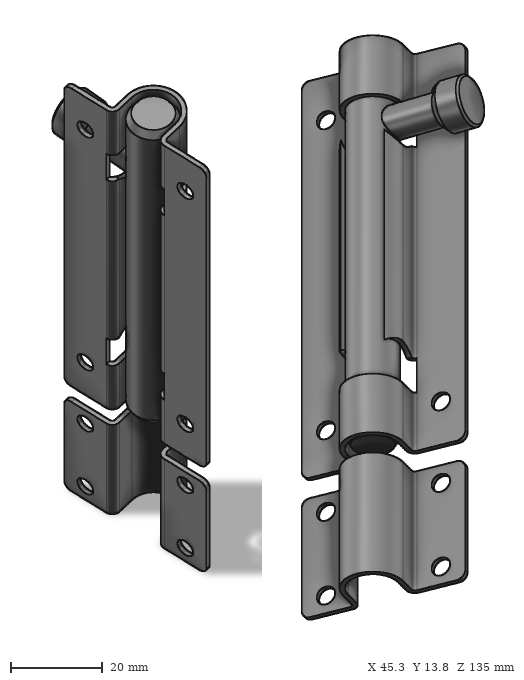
import cadquery as cq
import math


bolt_diameter = 12.0

sheet_thickness = 1.2
crown_radius = 7.3
plate_width = 40.0
mounting_gap = 0.3
base_y = -(bolt_diameter / 2 + mounting_gap)
bend_inner_radius = 0.8
corner_radius = 2.0
screw_hole_diameter = 4.5
screw_hole_spacing_x = 28.1

total_height = 135.0
housing_height = 99.9
strike_height = 30.0
housing_bottom = total_height - housing_height
housing_hole_margin = 11.0
strike_hole_margin = 4.5

window_height = 8.6
strap_height = 14.7
window_half_width = 8.1
crown_slot_width = 10.5
window_arc_depth = 1.9
window_arc_chord = 9.5
window_arc_offset_y = 0.4

bolt_length = 98.0
bolt_top_gap = 0.8
bolt_chamfer_length = 2.0
bolt_chamfer_depth = bolt_chamfer_length * math.tan(math.radians(30))
handle_drop = 19.5
handle_tilt = 3.5
handle_length = 25.0
neck_diameter = 8.0
knob_diameter = 12.0
knob_length = 5.8
knob_cone_length = (knob_diameter - neck_diameter) / 2
knob_edge_chamfer = 0.5


def formed_plate(bottom, height, hole_margin):
    """Hat-section plate with two drilled flanges and a half-round channel."""
    inner_radius = crown_radius - sheet_thickness
    flange_top = base_y + sheet_thickness
    half_width = plate_width / 2
    outer_bend = bend_inner_radius + sheet_thickness
    inner_foot = inner_radius + outer_bend
    diagonal = math.sqrt(0.5)
    bend_y = base_y + outer_bend

    def bend_middle(side, radius):
        return (side * (inner_foot - radius * diagonal), bend_y - radius * diagonal)

    profile = (
        cq.Workplane("XY", origin=(0, 0, bottom))
        .moveTo(-half_width, base_y)
        .lineTo(-inner_foot, base_y)
        .threePointArc(bend_middle(-1, outer_bend), (-inner_radius, bend_y))
        .lineTo(-inner_radius, 0)
        .threePointArc((0, inner_radius), (inner_radius, 0))
        .lineTo(inner_radius, bend_y)
        .threePointArc(bend_middle(1, outer_bend), (inner_foot, base_y))
        .lineTo(half_width, base_y)
        .lineTo(half_width, flange_top)
        .lineTo(inner_foot, flange_top)
        .threePointArc(bend_middle(1, bend_inner_radius), (crown_radius, bend_y))
        .lineTo(crown_radius, 0)
        .threePointArc((0, crown_radius), (-crown_radius, 0))
        .lineTo(-crown_radius, bend_y)
        .threePointArc(bend_middle(-1, bend_inner_radius), (-inner_foot, flange_top))
        .lineTo(-half_width, flange_top)
        .close()
    )
    plate = profile.extrude(height)
    plate = plate.faces("<X or >X").edges("|Y").fillet(corner_radius)

    hole_spacing_z = height - 2 * hole_margin
    holes = (
        cq.Workplane("XZ", origin=(0, 0, bottom + height / 2))
        .rarray(screw_hole_spacing_x, hole_spacing_z, 2, 2)
        .circle(screw_hole_diameter / 2)
        .extrude(plate_width, both=True)
    )
    return plate.cut(holes)


def box_between(half_x, y_low, y_high, z_low, z_high):
    return (
        cq.Workplane("XY", origin=(0, y_low, z_low))
        .box(2 * half_x, y_high - y_low, z_high - z_low, centered=(True, False, False))
    )


def make_housing():
    housing = formed_plate(housing_bottom, housing_height, housing_hole_margin)
    slot_low = housing_bottom + strap_height
    slot_high = total_height - strap_height
    beyond_crown = 2 * crown_radius

    housing = housing.cut(box_between(crown_slot_width / 2, 0, beyond_crown, slot_low, slot_high))

    for z_low in (slot_low, slot_high - window_height):
        z_high = z_low + window_height
        housing = housing.cut(box_between(window_half_width, base_y, beyond_crown, z_low, z_high))

    arc_low_y = window_arc_offset_y - window_arc_chord / 2
    arc_high_y = window_arc_offset_y + window_arc_chord / 2
    for edge, direction in ((slot_low + window_height, 1), (slot_high - window_height, -1)):
        arc_cut = (
            cq.Workplane("YZ", origin=(0, 0, edge))
            .moveTo(arc_low_y, 0)
            .threePointArc((window_arc_offset_y, direction * window_arc_depth), (arc_high_y, 0))
            .close()
            .extrude(window_half_width, both=True)
        )
        housing = housing.cut(arc_cut)
    return housing


def make_bolt():
    radius = bolt_diameter / 2
    end_radius = radius - bolt_chamfer_depth
    high = total_height - bolt_top_gap
    low = high - bolt_length
    rod = (
        cq.Workplane("XZ")
        .polyline([
            (0, low),
            (end_radius, low),
            (radius, low + bolt_chamfer_length),
            (radius, high - bolt_chamfer_length),
            (end_radius, high),
            (0, high),
        ])
        .close()
        .revolve(360, (0, 0), (0, 1))
    )

    neck_radius = neck_diameter / 2
    knob_radius = knob_diameter / 2
    knob_start = handle_length - knob_length
    handle = (
        cq.Workplane("XY")
        .polyline([
            (0, 0),
            (0, neck_radius),
            (-(knob_start - knob_cone_length), neck_radius),
            (-knob_start, knob_radius),
            (-(handle_length - knob_edge_chamfer), knob_radius),
            (-handle_length, knob_radius - knob_edge_chamfer),
            (-handle_length, 0),
        ])
        .close()
        .revolve(360, (0, 0), (1, 0))
        .rotate((0, 0, 0), (0, 0, 1), -handle_tilt)
        .translate((0, 0, total_height - handle_drop))
    )
    return rod.union(handle)


housing = make_housing()
strike_plate = formed_plate(0, strike_height, strike_hole_margin)
bolt = make_bolt()

result = cq.Compound.makeCompound([
    housing.solids().val(),
    strike_plate.solids().val(),
    bolt.solids().val(),
])